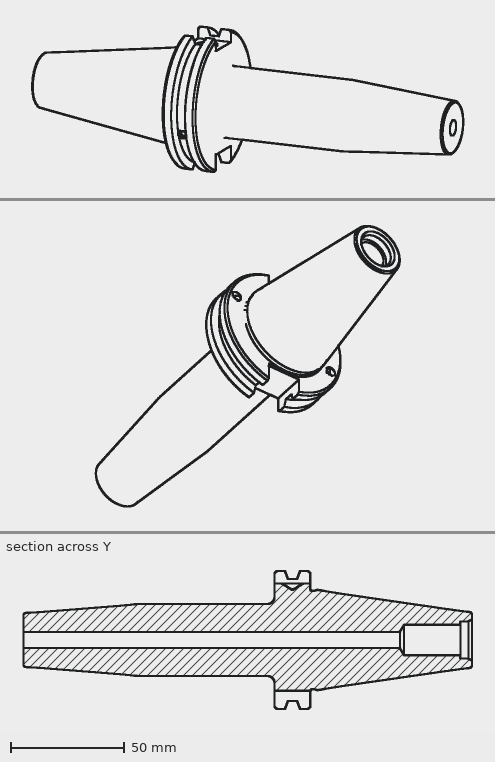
import cadquery as cq
import math

rear_x = -68.25
nose_x = 130.0
flange_start_x = 3.2
flange_end_x = 19.1
neck_start_x = 1.6
nose_cone_start_x = 79.2

gauge_diameter = 44.45
taper_ratio = 7 / 24
rear_diameter = gauge_diameter + taper_ratio * rear_x
neck_diameter = 43.6
neck_fillet = 0.7
rear_chamfer = 0.7

flange_diameter = 63.26
flange_chamfer_length = 1.0
flange_chamfer_height = 1.0
groove_center_x = 11.1
groove_bottom_width = 4.0
groove_top_width = 6.6
groove_diameter = 56.5

shank_diameter = 32.0
shank_fillet = 3.0
nose_diameter = 24.0
nose_chamfer = 0.7

slot_width = 16.4
upper_slot_floor = 25.0
lower_slot_floor = 22.5
dimple_diameter = 9.53
dimple_point_angle = 118.0

through_diameter = 6.92
pilot_diameter = 16.3
pilot_depth = 5.2
thread_diameter = 13.39
thread_depth = 30.0
bore_point_angle = 118.0
bore_chamfer_height = 0.95
bore_chamfer_length = 1.65

port_angle = 20.0
port_circle_radius = 27.0
face_port_diameter = 3.24
face_seat_diameter = 4.0
face_seat_depth = 1.1
face_port_tilt = 38.0
face_seat_overrun = 3.0
screw_seat_diameter = 4.2
screw_seat_depth = 1.0
radial_port_diameter = 2.46


def revolve_about_x(points):
    """Revolve a closed (x, radius) outline about the X axis."""
    return cq.Workplane("XY").polyline(points).close().revolve(360, (0, 0, 0), (1, 0, 0))


def cone_height(diameter, point_angle):
    """Axial length of a drill-point cone spanning the given diameter."""
    return diameter / 2 / math.tan(math.radians(point_angle / 2))


def body():
    """Solid of revolution: taper, grooved flange, shank and conical nose."""
    rear_radius = rear_diameter / 2
    flange_radius = flange_diameter / 2
    flange_face_radius = flange_radius - flange_chamfer_height
    neck_radius = neck_diameter / 2
    shank_radius = shank_diameter / 2
    nose_radius = nose_diameter / 2
    arc_inset = 1 - math.sqrt(0.5)
    outline = (
        cq.Workplane("XY")
        .moveTo(rear_x, 0)
        .lineTo(rear_x, rear_radius - rear_chamfer)
        .lineTo(rear_x + rear_chamfer, rear_radius + taper_ratio * rear_chamfer / 2)
        .lineTo(0, gauge_diameter / 2)
        .lineTo(neck_start_x, neck_radius)
        .lineTo(flange_start_x - neck_fillet, neck_radius)
        .threePointArc(
            (flange_start_x - arc_inset * neck_fillet, neck_radius + arc_inset * neck_fillet),
            (flange_start_x, neck_radius + neck_fillet),
        )
        .lineTo(flange_start_x, flange_face_radius)
        .lineTo(flange_start_x + flange_chamfer_length, flange_radius)
        .lineTo(groove_center_x - groove_top_width / 2, flange_radius)
        .lineTo(groove_center_x - groove_bottom_width / 2, groove_diameter / 2)
        .lineTo(groove_center_x + groove_bottom_width / 2, groove_diameter / 2)
        .lineTo(groove_center_x + groove_top_width / 2, flange_radius)
        .lineTo(flange_end_x - flange_chamfer_length, flange_radius)
        .lineTo(flange_end_x, flange_face_radius)
        .lineTo(flange_end_x, shank_radius + shank_fillet)
        .threePointArc(
            (flange_end_x + arc_inset * shank_fillet, shank_radius + arc_inset * shank_fillet),
            (flange_end_x + shank_fillet, shank_radius),
        )
        .lineTo(nose_cone_start_x, shank_radius)
        .lineTo(nose_x - nose_chamfer, nose_radius)
        .lineTo(nose_x, nose_radius - nose_chamfer)
        .lineTo(nose_x, 0)
        .close()
    )
    return outline.revolve(360, (0, 0, 0), (1, 0, 0))


def central_bore():
    """Stepped bore narrowing from the rear end to the through hole."""
    through_radius = through_diameter / 2
    pilot_radius = pilot_diameter / 2
    thread_radius = thread_diameter / 2
    point_length = cone_height(thread_diameter - through_diameter, bore_point_angle)
    thread_end_x = rear_x + thread_depth
    return revolve_about_x([
        (rear_x, 0),
        (rear_x, pilot_radius + bore_chamfer_height),
        (rear_x + bore_chamfer_length, pilot_radius),
        (rear_x + pilot_depth, pilot_radius),
        (rear_x + pilot_depth, thread_radius),
        (thread_end_x, thread_radius),
        (thread_end_x + point_length, through_radius),
        (nose_x, through_radius),
        (nose_x, 0),
    ])


def drive_slot(floor, side):
    """Slot across the flange; side is +1 for the top and -1 for the bottom."""
    length = flange_end_x - flange_start_x
    return (
        cq.Workplane("XY")
        .workplane(offset=side * floor)
        .center((flange_start_x + flange_end_x) / 2, 0)
        .rect(length, slot_width)
        .extrude(side * (flange_diameter / 2 - floor))
    )


def dimple():
    """Conical dimple in the floor of the upper drive slot."""
    depth = cone_height(dimple_diameter, dimple_point_angle)
    return cq.Workplane(
        cq.Solid.makeCone(
            dimple_diameter / 2, 0, depth,
            cq.Vector(groove_center_x, 0, upper_slot_floor), cq.Vector(0, 0, -1),
        )
    )


def coolant_port(angle):
    """Stepped oblique port from the rear flange face, met by a stepped radial port from the groove."""
    outward = cq.Vector(0, math.cos(math.radians(angle)), math.sin(math.radians(angle)))
    axial = cq.Vector(1, 0, 0)
    tilt = math.radians(face_port_tilt)
    face_axis = axial * math.cos(tilt) - outward * math.sin(tilt)
    face_point = axial * flange_start_x + outward * port_circle_radius
    axial_run = groove_center_x - flange_start_x
    face_port = cq.Solid.makeCylinder(
        face_port_diameter / 2,
        axial_run / math.cos(tilt),
        face_point,
        face_axis,
    )
    face_seat = cq.Solid.makeCylinder(
        face_seat_diameter / 2,
        face_seat_overrun + face_seat_depth,
        face_point - face_axis * face_seat_overrun,
        face_axis,
    )

    flange_radius = flange_diameter / 2
    meeting_radius = port_circle_radius - axial_run * math.tan(tilt)
    entry = axial * groove_center_x + outward * flange_radius
    radial_port = cq.Solid.makeCylinder(
        radial_port_diameter / 2, flange_radius - meeting_radius, entry, -outward
    )
    screw_seat = cq.Solid.makeCylinder(
        screw_seat_diameter / 2,
        flange_radius - groove_diameter / 2 + screw_seat_depth,
        entry,
        -outward,
    )
    port = cq.Workplane(face_port)
    for segment in (face_seat, radial_port, screw_seat):
        port = port.union(cq.Workplane(segment))
    return port


result = body().cut(central_bore())
result = result.cut(drive_slot(upper_slot_floor, 1)).cut(drive_slot(lower_slot_floor, -1))
result = result.cut(dimple())
for angle in (port_angle, port_angle + 180):
    result = result.cut(coolant_port(angle))